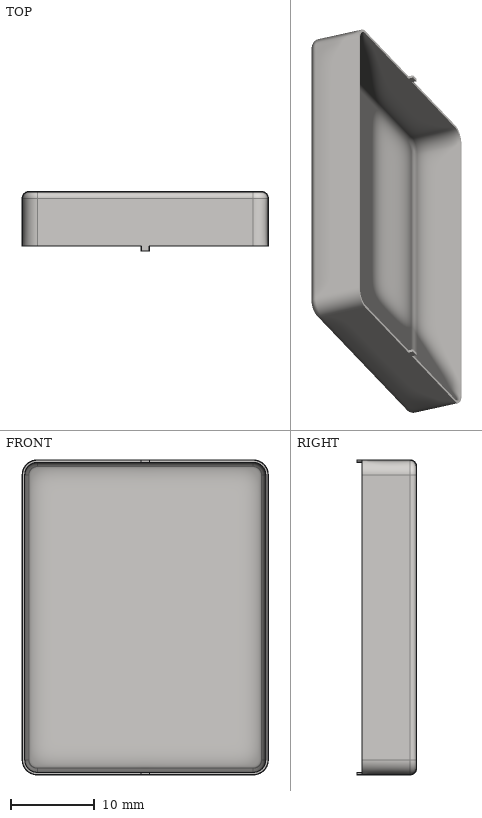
import cadquery as cq

width = 29.3
height = 37.5
body_depth = 6.5
wall = 0.3
corner_radius = 1.8
back_edge_radius = 0.8

tab_width = 1.0
tab_length = 0.6


def rounded_block(inset):
    """Block with rounded corners and back edge, inset from the outer sides and back."""
    block = (
        cq.Workplane("XZ")
        .rect(width - 2 * inset, height - 2 * inset)
        .extrude(-(body_depth - inset))
        .edges("|Y")
        .fillet(corner_radius - inset)
    )
    return block.faces(">Y").edges().fillet(back_edge_radius - inset)


def rim_tab(side):
    """Tab flush with the top (side = 1) or bottom (side = -1) wall.

    It starts one wall thickness behind the rim so that it joins the wall solidly.
    """
    return (
        cq.Workplane("XY")
        .box(tab_width, tab_length + wall, wall)
        .translate((0, (wall - tab_length) / 2, side * (height - wall) / 2))
    )


result = rounded_block(0).cut(rounded_block(wall))
for side in (1, -1):
    result = result.union(rim_tab(side))